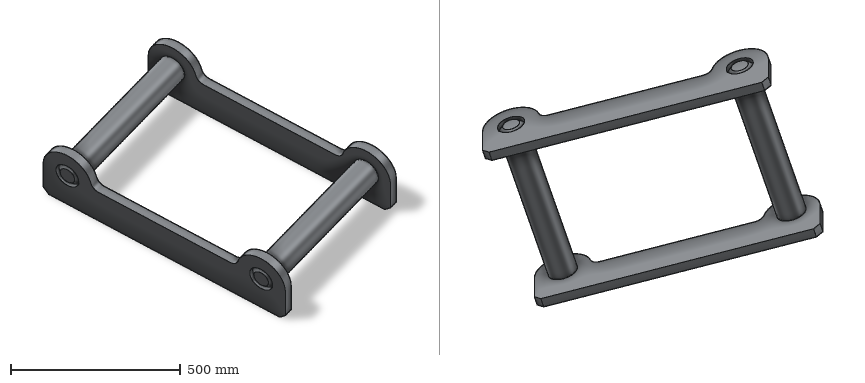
import cadquery as cq
import math

length = 883.0
width = 562.0
height = 213.0

plate_thickness = 30.0
ear_radius = 88.0
ear_fillet = 30.0
corner_chamfer = 20.0

bar_radius = 45.0
journal_radius = 41.5
end_chamfer = 15.0

axis_x = length / 2 - ear_radius
axis_z = height - ear_radius
inner_y = width / 2 - plate_thickness


def make_plate(y_start):
    """Plate with two round ears, occupying y_start to y_start + plate_thickness."""
    half = length / 2
    fillet_reach = math.sqrt((ear_radius + ear_fillet) ** 2 - ear_fillet**2)
    fillet_x = axis_x - fillet_reach
    ear_share = ear_radius / (ear_radius + ear_fillet)
    tangent_x = axis_x - ear_share * fillet_reach
    tangent_z = axis_z + ear_share * ear_fillet
    tangent_angle = math.asin(ear_fillet / (ear_radius + ear_fillet))
    mid_angle = (math.pi / 2 + tangent_angle) / 2
    fillet_mid_x = fillet_x + ear_fillet * math.cos(mid_angle)
    fillet_mid_z = axis_z + ear_fillet * (1 - math.sin(mid_angle))

    outline = (
        cq.Workplane("XZ", origin=(0, y_start, 0))
        .moveTo(-half + corner_chamfer, 0)
        .lineTo(half - corner_chamfer, 0)
        .lineTo(half, corner_chamfer)
        .lineTo(half, axis_z)
        .threePointArc((axis_x, height), (tangent_x, tangent_z))
        .threePointArc((fillet_mid_x, fillet_mid_z), (fillet_x, axis_z))
        .lineTo(-fillet_x, axis_z)
        .threePointArc((-fillet_mid_x, fillet_mid_z), (-tangent_x, tangent_z))
        .threePointArc((-axis_x, height), (-half, axis_z))
        .lineTo(-half, corner_chamfer)
        .close()
    )
    plate = outline.extrude(-plate_thickness)
    holes = (
        cq.Workplane("XZ", origin=(0, y_start, 0))
        .pushPoints([(-axis_x, axis_z), (axis_x, axis_z)])
        .circle(journal_radius)
        .extrude(-plate_thickness)
    )
    return plate.cut(holes)


def make_bar(x):
    """Bar along Y with stepped journals that end flush with the plates."""
    journals = (
        cq.Workplane("XZ", origin=(x, -width / 2, axis_z))
        .circle(journal_radius)
        .extrude(-width)
        .faces("<Y or >Y")
        .chamfer(end_chamfer)
    )
    middle = (
        cq.Workplane("XZ", origin=(x, -inner_y, axis_z))
        .circle(bar_radius)
        .extrude(-2 * inner_y)
    )
    return journals.union(middle)


plates = [make_plate(y_start) for y_start in (-width / 2, inner_y)]
bars = [make_bar(x) for x in (-axis_x, axis_x)]

result = cq.Compound.makeCompound([body.val() for body in plates + bars])